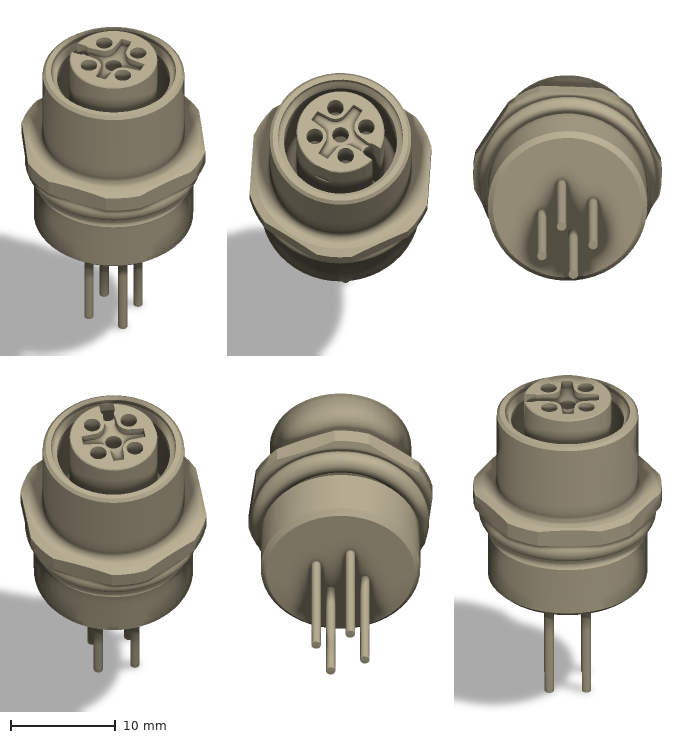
import cadquery as cq
import math

TOTAL_HEIGHT = 31.7
BODY_BOTTOM = 11.7
FLANGE_BOTTOM = 20.15
FLANGE_TOP = 22.13
SLEEVE_TOP = 30.15

BODY_RADIUS = 7.6
BODY_CHAMFER = 0.5
BODY_SHOULDER = 17.05
GROOVE_RADIUS = 6.63

SEAL_WIRE_RADIUS = 1.0
SEAL_OUTER_RADIUS = 8.45

HEX_ACROSS_FLATS = 17.0
HEX_FLAT_ANGLE = 15.0
FLANGE_RADIUS = 9.0
FLANGE_FACE_RADIUS = 8.2
FLANGE_BEVEL_HEIGHT = 0.22

SLEEVE_RADIUS = 6.75
SLEEVE_CHAMFER = 0.3
SLEEVE_ROOT_FILLET = 0.32
MOUTH_RADIUS = 5.95
MOUTH_DEPTH = 0.45
BORE_TOP = 29.3
BORE_RADIUS = 5.4
BORE_FLOOR = 22.2

INNER_SEAL_WIRE_RADIUS = 0.6
INNER_SEAL_OUTER_RADIUS = 5.33
INNER_SEAL_LIFT = 0.32

INSERT_RADIUS = 4.2
INSERT_CHAMFER = 0.1
CONTACT_OFFSET = 2.5
CONTACT_HOLE_RADIUS = 0.8
CONTACT_HOLE_DEPTH = 3.17
CROSS_DEPTH = 0.82
CROSS_REACH = 3.0
CROSS_TIP_WIDTH = 1.05
CROSS_CLEARANCE_RADIUS = 1.15
KEYWAY_OFFSET = 3.4
KEYWAY_RADIUS = 0.7
KEYWAY_ANGLE = 225.0
FLAT_ANGLE = 144.0
FLAT_DISTANCE = 4.1
FLAT_DEPTH = 2.92

PIN_RADIUS = 0.45
PIN_EMBED = 0.5

SIDE_ANGLES = (0, 90, 180, 270)
ARM_TURN = 45.0


def polar(radius, angle):
    """Point at a distance and an angle in degrees from the axis."""
    return radius * math.cos(math.radians(angle)), radius * math.sin(math.radians(angle))


def make_shell():
    """Turned lower body, groove and sleeve, with a coned mouth opening into a blind bore."""
    groove_slope = BODY_RADIUS - GROOVE_RADIUS
    fillet_center_r = SLEEVE_RADIUS + SLEEVE_ROOT_FILLET
    fillet_center_z = FLANGE_TOP + SLEEVE_ROOT_FILLET
    fillet_reach = SLEEVE_ROOT_FILLET * math.sqrt(0.5)
    profile = (
        cq.Workplane("XZ")
        .moveTo(0, BODY_BOTTOM)
        .lineTo(BODY_RADIUS - BODY_CHAMFER, BODY_BOTTOM)
        .lineTo(BODY_RADIUS, BODY_BOTTOM + BODY_CHAMFER)
        .lineTo(BODY_RADIUS, BODY_SHOULDER)
        .lineTo(GROOVE_RADIUS, BODY_SHOULDER + groove_slope)
        .lineTo(GROOVE_RADIUS, FLANGE_TOP)
        .lineTo(fillet_center_r, FLANGE_TOP)
        .threePointArc(
            (fillet_center_r - fillet_reach, fillet_center_z - fillet_reach),
            (SLEEVE_RADIUS, fillet_center_z),
        )
        .lineTo(SLEEVE_RADIUS, SLEEVE_TOP - SLEEVE_CHAMFER)
        .lineTo(SLEEVE_RADIUS - SLEEVE_CHAMFER, SLEEVE_TOP)
        .lineTo(MOUTH_RADIUS, SLEEVE_TOP)
        .lineTo(MOUTH_RADIUS, SLEEVE_TOP - MOUTH_DEPTH)
        .lineTo(BORE_RADIUS, BORE_TOP)
        .lineTo(BORE_RADIUS, BORE_FLOOR)
        .lineTo(0, BORE_FLOOR)
        .close()
    )
    return profile.revolve(360, (0, 0, 0), (0, 1, 0))


def make_flange():
    """Hexagonal plate whose corners are turned round and beveled on both faces."""
    height = FLANGE_TOP - FLANGE_BOTTOM
    hexagon = (
        cq.Workplane("XY")
        .workplane(offset=FLANGE_BOTTOM)
        .transformed(rotate=(0, 0, HEX_FLAT_ANGLE))
        .polygon(6, HEX_ACROSS_FLATS, circumscribed=True)
        .extrude(height)
    )
    turned_blank = (
        cq.Workplane("XY")
        .workplane(offset=FLANGE_BOTTOM)
        .circle(FLANGE_RADIUS)
        .extrude(height)
        .faces("<Z or >Z")
        .chamfer(FLANGE_BEVEL_HEIGHT, FLANGE_RADIUS - FLANGE_FACE_RADIUS)
    )
    return hexagon.intersect(turned_blank)


def make_ring(outer_radius, wire_radius, center_z):
    """Round-section ring about the Z axis."""
    return (
        cq.Workplane("XZ")
        .center(outer_radius - wire_radius, center_z)
        .circle(wire_radius)
        .revolve(360, (wire_radius - outer_radius, 0, 0), (wire_radius - outer_radius, 1, 0))
    )


def make_cross():
    """Four-armed recess; its sides run from the arm tips tangent to arcs around the contacts."""
    tip_half_angle = math.degrees(math.atan2(CROSS_TIP_WIDTH / 2, CROSS_REACH))
    tip_radius = math.hypot(CROSS_REACH, CROSS_TIP_WIDTH / 2)
    first_corner = polar(tip_radius, tip_half_angle - ARM_TURN)
    from_contact_x = first_corner[0] - CONTACT_OFFSET
    from_contact_y = first_corner[1]
    corner_distance = math.hypot(from_contact_x, from_contact_y)
    corner_angle = math.degrees(math.atan2(from_contact_y, from_contact_x))
    tangent_angle = corner_angle - math.degrees(math.acos(CROSS_CLEARANCE_RADIUS / corner_distance))
    tangent_x, tangent_y = polar(CROSS_CLEARANCE_RADIUS, tangent_angle)
    tangent_x += CONTACT_OFFSET
    tangent_radius = math.hypot(tangent_x, tangent_y)
    tangent_swing = math.degrees(math.atan2(-tangent_y, tangent_x))

    outline = cq.Workplane("XY").workplane(offset=TOTAL_HEIGHT - CROSS_DEPTH).moveTo(*first_corner)
    for side in SIDE_ANGLES:
        outline = (
            outline.lineTo(*polar(tangent_radius, side - tangent_swing))
            .threePointArc(
                polar(CONTACT_OFFSET - CROSS_CLEARANCE_RADIUS, side),
                polar(tangent_radius, side + tangent_swing),
            )
            .lineTo(*polar(tip_radius, side + ARM_TURN - tip_half_angle))
        )
        if side != SIDE_ANGLES[-1]:
            outline = outline.lineTo(*polar(tip_radius, side + ARM_TURN + tip_half_angle))
    return outline.close().extrude(CROSS_DEPTH)


def make_insert():
    """Contact carrier with its holes, cross recess, keyway and side flat."""
    height = TOTAL_HEIGHT - BORE_FLOOR
    base = cq.Workplane("XY").workplane(offset=BORE_FLOOR)
    insert = base.circle(INSERT_RADIUS).extrude(height).faces(">Z").chamfer(INSERT_CHAMFER)

    contacts = [(0, 0)] + [polar(CONTACT_OFFSET, angle) for angle in SIDE_ANGLES]
    holes = (
        cq.Workplane("XY")
        .workplane(offset=TOTAL_HEIGHT - CONTACT_HOLE_DEPTH)
        .pushPoints(contacts)
        .circle(CONTACT_HOLE_RADIUS)
        .extrude(CONTACT_HOLE_DEPTH)
    )

    keyway_length = 2 * INSERT_RADIUS
    keyway = (
        base.transformed(rotate=(0, 0, KEYWAY_ANGLE))
        .center(KEYWAY_OFFSET - KEYWAY_RADIUS + keyway_length / 2, 0)
        .slot2D(keyway_length, 2 * KEYWAY_RADIUS)
        .extrude(height)
    )

    flat = (
        cq.Workplane("XY")
        .workplane(offset=TOTAL_HEIGHT - FLAT_DEPTH)
        .transformed(rotate=(0, 0, FLAT_ANGLE))
        .center(FLAT_DISTANCE + INSERT_RADIUS, 0)
        .rect(2 * INSERT_RADIUS, 2 * INSERT_RADIUS)
        .extrude(FLAT_DEPTH)
    )
    return insert.cut(holes).cut(make_cross()).cut(keyway).cut(flat)


def make_pins():
    """Four straight solder pins under the outer contacts."""
    return (
        cq.Workplane("XY")
        .pushPoints([polar(CONTACT_OFFSET, angle) for angle in SIDE_ANGLES])
        .circle(PIN_RADIUS)
        .extrude(BODY_BOTTOM + PIN_EMBED)
    )


seal = make_ring(SEAL_OUTER_RADIUS, SEAL_WIRE_RADIUS, FLANGE_BOTTOM - SEAL_WIRE_RADIUS)
inner_seal = make_ring(INNER_SEAL_OUTER_RADIUS, INNER_SEAL_WIRE_RADIUS, BORE_FLOOR + INNER_SEAL_LIFT)

result = (
    make_shell()
    .union(make_flange())
    .union(seal)
    .union(inner_seal)
    .union(make_insert())
    .union(make_pins())
)